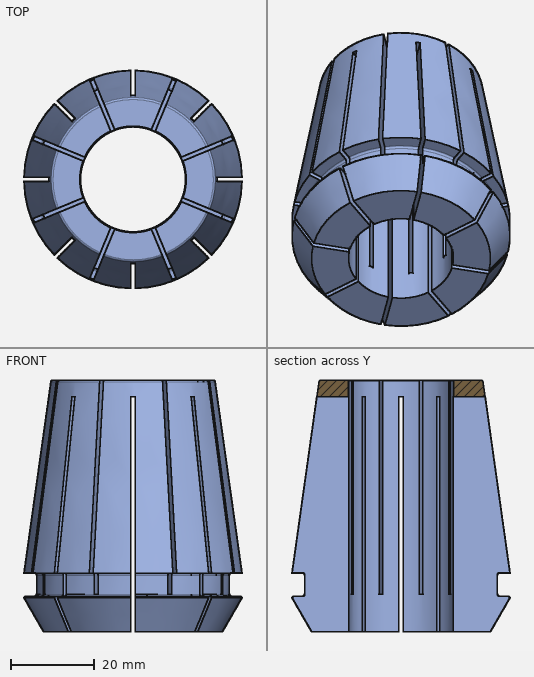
import cadquery as cq
import math

height = 60.0
max_radius = 26.0
bore_radius = 12.5

cone_base_z = 14.0
cone_half_angle = 8.0
cone_top_radius = max_radius - (height - cone_base_z) * math.tan(math.radians(cone_half_angle))
top_edge_fillet = 0.5
bore_edge_chamfer = 0.2

groove_base_z = 8.5
groove_radius = 23.0
groove_corner_fillet = 0.5
nose_half_angle = 30.0
nose_edge_chamfer = 0.4
nose_edge_z = groove_base_z - nose_edge_chamfer
nose_base_radius = max_radius - nose_edge_z * math.tan(math.radians(nose_half_angle))

slots_per_end = 8
slot_width = 1.0
slot_overrun = 1.0
slot_length = max_radius + slot_overrun
slot_pitch = 360.0 / slots_per_end
bottom_slot_end_z = 56.0
top_slot_end_z = groove_base_z + groove_corner_fillet


def make_body():
    """Solid of revolution about Z, with its groove corners and top edges broken."""
    profile = (
        cq.Workplane("XZ")
        .moveTo(bore_radius, 0)
        .lineTo(nose_base_radius, 0)
        .lineTo(max_radius, nose_edge_z)
        .lineTo(max_radius - nose_edge_chamfer, groove_base_z)
        .lineTo(groove_radius, groove_base_z)
        .lineTo(groove_radius, cone_base_z)
        .lineTo(max_radius, cone_base_z)
        .lineTo(cone_top_radius, height)
        .lineTo(bore_radius, height)
        .close()
    )
    body = profile.revolve(360, (0, 0, 0), (0, 1, 0))
    groove_rank = 3
    groove_corners = body.edges(cq.selectors.RadiusNthSelector(groove_rank))
    body = groove_corners.fillet(groove_corner_fillet)
    top_outer_edge = body.faces(">Z").edges(cq.selectors.RadiusNthSelector(-1))
    body = top_outer_edge.fillet(top_edge_fillet)
    top_bore_edge = body.faces(">Z").edges(cq.selectors.RadiusNthSelector(0))
    return top_bore_edge.chamfer(bore_edge_chamfer)


def cut_slots(body, start_z, end_z, first_angle):
    """Cut a ring of radial slots between two heights."""
    blade = (
        cq.Workplane("XY", origin=(0, 0, start_z))
        .rect(slot_length, slot_width)
        .extrude(end_z - start_z)
        .translate((slot_length / 2, 0, 0))
    )
    for index in range(slots_per_end):
        angle = first_angle + index * slot_pitch
        body = body.cut(blade.rotate((0, 0, 0), (0, 0, 1), angle))
    return body


result = make_body()
result = cut_slots(result, 0, bottom_slot_end_z, 0)
result = cut_slots(result, top_slot_end_z, height, slot_pitch / 2)